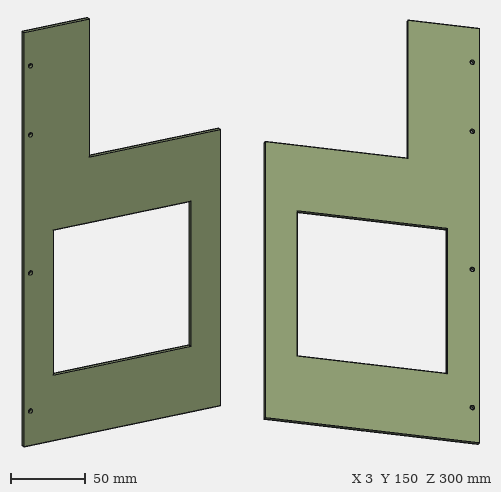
import cadquery as cq

thickness = 3.0
width = 150.0
height = 300.0

arm_width = 50.0
shoulder_height = 200.0

window_size = 105.0
window_center_y = width / 2
window_center_z = shoulder_height / 2

hole_diameter = 3.0
hole_edge_distance = 5.0
hole_heights = (25.0, 125.0, 225.0, 275.0)


def plate_blank():
    """L-shaped plate standing in the YZ plane."""
    outline = [
        (0, 0),
        (width, 0),
        (width, shoulder_height),
        (arm_width, shoulder_height),
        (arm_width, height),
        (0, height),
    ]
    return cq.Workplane("YZ").polyline(outline).close().extrude(thickness)


def window_cutter():
    """Square prism through the full thickness."""
    return (
        cq.Workplane("YZ")
        .center(window_center_y, window_center_z)
        .rect(window_size, window_size)
        .extrude(thickness)
    )


def hole_cutters():
    """Row of cylinders through the full thickness."""
    centers = [(hole_edge_distance, z) for z in hole_heights]
    return cq.Workplane("YZ").pushPoints(centers).circle(hole_diameter / 2).extrude(thickness)


result = plate_blank().cut(window_cutter()).cut(hole_cutters())